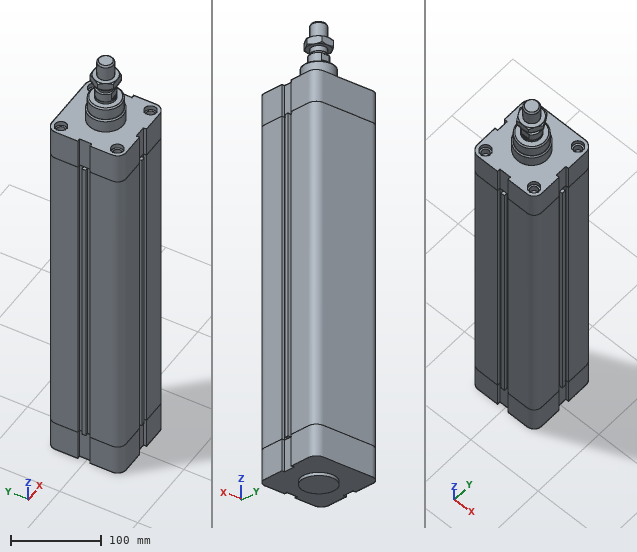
import cadquery as cq
import math

body_width = 95.5
corner_radius = 11.5
total_height = 568.0
body_height = 477.0
cap_height = 39.0

slot_width = 15.5
slot_depth = 4.0
rib_width = 5.0

boss_diameter = 45.0
rear_boss_height = 4.0
front_boss_height = 17.0
front_boss_chamfer = 1.5
guide_diameter = 41.0
guide_height = 16.0
guide_chamfer = 1.5

hole_pitch = 72.0
counterbore_diameter = 15.0
counterbore_depth = 5.5
hole_diameter = 10.0
hole_depth = 15.0
drill_point_angle = 118.0

rod_diameter = 25.0
rod_exposed_height = 3.0
wrench_diameter = 24.5
wrench_height = 11.0
flat_width = 21.5
flat_height = 9.0
neck_diameter = 19.0
neck_height = 3.5
thread_diameter = 20.0
thread_chamfer_length = 2.0
thread_chamfer_width = 1.5

nut_across_flats = 30.0
nut_height = 9.5
nut_chamfer_angle = 30.0
nut_gap_above_neck = 6.0

body_bottom = rear_boss_height
barrel_bottom = body_bottom + cap_height
body_top = body_bottom + body_height
barrel_top = body_top - cap_height
boss_top = body_top + front_boss_height
guide_top = boss_top + guide_height
wrench_bottom = guide_top + rod_exposed_height
wrench_top = wrench_bottom + wrench_height
thread_bottom = wrench_top + neck_height
nut_bottom = thread_bottom + nut_gap_above_neck


def plane_at(height):
    return cq.Workplane("XY").workplane(offset=height)


def cylinder(diameter, bottom, top):
    return plane_at(bottom).circle(diameter / 2).extrude(top - bottom)


def bars_on_slotted_sides(width, bottom, top):
    """Upright bars, one slot depth thick, just inside the -Y, +X and -X sides."""
    front_bar = (
        plane_at(bottom)
        .center(0, (slot_depth - body_width) / 2)
        .rect(width, slot_depth)
        .extrude(top - bottom)
    )
    bars = front_bar
    for angle in (90, -90):
        bars = bars.union(front_bar.rotate((0, 0, 0), (0, 0, 1), angle))
    return bars


def slotted_block(bottom, top):
    block = plane_at(bottom).rect(body_width, body_width).extrude(top - bottom)
    block = block.edges("|Z").fillet(corner_radius)
    return block.cut(bars_on_slotted_sides(slot_width, bottom, top))


def mounting_holes():
    """Counterbored blind holes with drill points, at the four corners of the front cap."""
    radius = hole_diameter / 2
    cone_height = radius / math.tan(math.radians(drill_point_angle / 2))
    hole_bottom = body_top - hole_depth
    hole = (
        cq.Workplane("XZ")
        .polyline([
            (0, body_top),
            (counterbore_diameter / 2, body_top),
            (counterbore_diameter / 2, body_top - counterbore_depth),
            (radius, body_top - counterbore_depth),
            (radius, hole_bottom),
            (0, hole_bottom - cone_height),
        ])
        .close()
        .revolve(360, (0, 0, 0), (0, 1, 0))
    )
    corners = cq.Workplane("XY").rect(hole_pitch, hole_pitch, forConstruction=True).vertices()
    return corners.eachpoint(hole.val(), combine=False)


def make_barrel():
    ribs = bars_on_slotted_sides(rib_width, barrel_bottom, barrel_top)
    return slotted_block(barrel_bottom, barrel_top).union(ribs)


def make_rear_cap():
    boss = cylinder(boss_diameter, 0, body_bottom)
    return slotted_block(body_bottom, barrel_bottom).union(boss)


def make_front_cap():
    boss = cylinder(boss_diameter, body_top, boss_top).faces(">Z").chamfer(front_boss_chamfer)
    guide = cylinder(guide_diameter, boss_top, guide_top).faces(">Z").chamfer(guide_chamfer)
    rod_bore = cylinder(rod_diameter, barrel_top, guide_top)
    cap = slotted_block(barrel_top, body_top).union(boss).union(guide)
    return cap.cut(rod_bore).cut(mounting_holes())


def make_rod():
    shank = cylinder(rod_diameter, barrel_top, wrench_bottom)
    neck = cylinder(neck_diameter, wrench_top, thread_bottom)
    thread = cylinder(thread_diameter, thread_bottom, total_height)
    thread = thread.faces(">Z").chamfer(thread_chamfer_length, thread_chamfer_width)
    return shank.union(make_wrench_section()).union(neck).union(thread)


def make_wrench_section():
    """Round section with two flats, facing -Y and +Y, cut down from its upper end."""
    flats_bottom = wrench_top - flat_height
    round_base = cylinder(wrench_diameter, wrench_bottom, flats_bottom)
    flatted = cylinder(wrench_diameter, flats_bottom, wrench_top).intersect(
        plane_at(flats_bottom).rect(wrench_diameter, flat_width).extrude(flat_height)
    )
    return round_base.union(flatted)


def make_nut():
    """Hexagon nut with two corners on the X axis and its corners chamfered at both ends."""
    nut_top = nut_bottom + nut_height
    across_corners = nut_across_flats / math.cos(math.pi / 6)
    chamfer_width = (across_corners - nut_across_flats) / 2
    chamfer_length = chamfer_width * math.tan(math.radians(nut_chamfer_angle))
    hexagon = plane_at(nut_bottom).polygon(6, across_corners).extrude(nut_height)
    envelope = cylinder(across_corners, nut_bottom, nut_top)
    envelope = envelope.faces("<Z or >Z").chamfer(chamfer_length, chamfer_width)
    return hexagon.intersect(envelope).cut(cylinder(thread_diameter, nut_bottom, nut_top))


barrel = make_barrel()
rear_cap = make_rear_cap()
front_cap = make_front_cap()
rod = make_rod()
nut = make_nut()

result = cq.Compound.makeCompound([
    barrel.val(),
    rear_cap.val(),
    front_cap.val(),
    rod.val(),
    nut.val(),
])